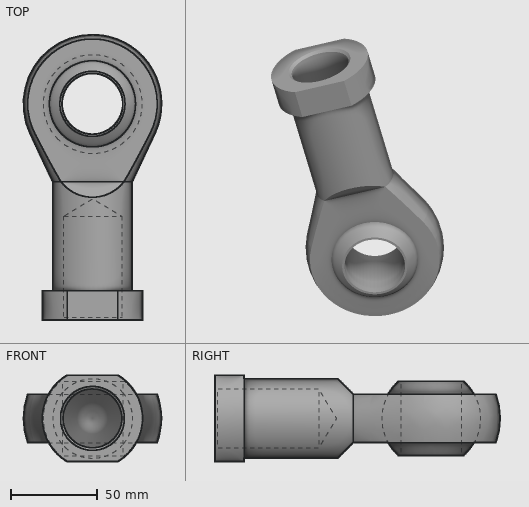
import cadquery as cq
import math


eye_radius = 40.0
eye_thickness = 28.0

shank_diameter = 46.0
shank_start = 45.0
housing_length = 125.0
collar_diameter = 58.0
collar_length = 17.0
collar_across_flats = 50.0

hole_diameter = 34.0
hole_mouth_diameter = 37.0
hole_depth = 60.0
drill_point_angle = 118.0

ball_width = 43.0
ball_face_diameter = 37.7
ball_bore_diameter = 35.0

shank_radius = shank_diameter / 2
collar_radius = collar_diameter / 2
hole_radius = hole_diameter / 2
hole_mouth_radius = hole_mouth_diameter / 2
half_thickness = eye_thickness / 2
collar_start = housing_length - collar_length
ball_radius = math.hypot(ball_face_diameter, ball_width) / 2


def turned_blank():
    """Solid of revolution about Y: spherical eye, tangent conical neck and cylindrical shank."""
    neck_end_distance = math.hypot(shank_radius, shank_start)
    tangent_angle = math.atan2(shank_radius, shank_start) + math.acos(eye_radius / neck_end_distance)
    tangent_point = (eye_radius * math.sin(tangent_angle), -eye_radius * math.cos(tangent_angle))
    return (
        cq.Workplane("XY")
        .moveTo(0, eye_radius)
        .threePointArc((eye_radius, 0), tangent_point)
        .lineTo(shank_radius, -shank_start)
        .lineTo(shank_radius, -housing_length)
        .lineTo(0, -housing_length)
        .close()
        .revolve(360, (0, 0, 0), (0, 1, 0))
    )


def flattening_envelope():
    """Side outline that flattens the eye and neck, then opens at 45 degrees to the full shank."""
    slope_rise = shank_radius - half_thickness
    slope_end = shank_start + slope_rise
    return (
        cq.Workplane("YZ")
        .moveTo(eye_radius, half_thickness)
        .lineTo(-shank_start, half_thickness)
        .lineTo(-slope_end, shank_radius)
        .lineTo(-housing_length, shank_radius)
        .lineTo(-housing_length, -shank_radius)
        .lineTo(-slope_end, -shank_radius)
        .lineTo(-shank_start, -half_thickness)
        .lineTo(eye_radius, -half_thickness)
        .close()
        .extrude(eye_radius, both=True)
    )


def wrench_collar():
    """Round collar at the shank end with two flats facing up and down."""
    collar_face = cq.Workplane("XZ", origin=(0, -collar_start, 0))
    collar_round = collar_face.circle(collar_radius).extrude(collar_length)
    flats = collar_face.rect(collar_diameter, collar_across_flats).extrude(collar_length)
    return collar_round.intersect(flats)


def shank_hole():
    """Blind hole with a 45 degree countersunk mouth and a conical drill point."""
    countersink_depth = hole_mouth_radius - hole_radius
    bottom = hole_depth - housing_length
    point_length = hole_radius / math.tan(math.radians(drill_point_angle / 2))
    return (
        cq.Workplane("XY")
        .moveTo(0, -housing_length)
        .lineTo(hole_mouth_radius, -housing_length)
        .lineTo(hole_radius, countersink_depth - housing_length)
        .lineTo(hole_radius, bottom)
        .lineTo(0, bottom + point_length)
        .close()
        .revolve(360, (0, 0, 0), (0, 1, 0))
    )


def make_housing():
    """Flattened eye and shank with collar, spherical ball seat and blind hole."""
    ball_seat = cq.Workplane("XY").sphere(ball_radius)
    return (
        turned_blank()
        .intersect(flattening_envelope())
        .union(wrench_collar())
        .cut(ball_seat)
        .cut(shank_hole())
    )


def make_ball():
    """Sphere trimmed to two flat faces, with a through bore along Z."""
    trim = cq.Workplane("XY").box(2 * ball_radius, 2 * ball_radius, ball_width)
    bore = cq.Workplane("XY").circle(ball_bore_diameter / 2).extrude(ball_width, both=True)
    return cq.Workplane("XY").sphere(ball_radius).intersect(trim).cut(bore)


housing = make_housing().solids()
ball = make_ball().solids()

result = cq.Compound.makeCompound([housing.val(), ball.val()])